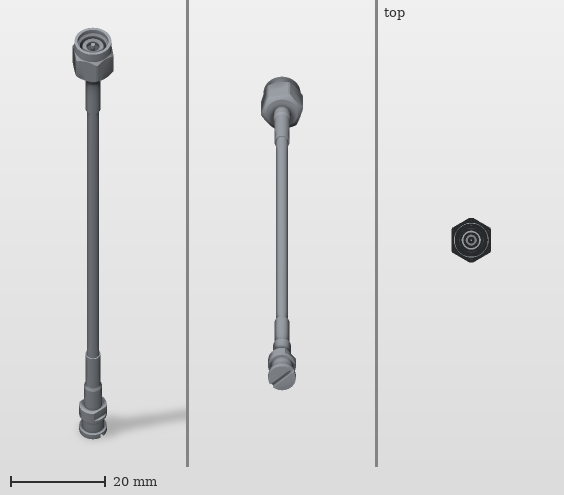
import cadquery as cq
import math


overall_length = 120.2

cable_diameter = 2.64
sleeve_diameter = 3.17
sleeve_length = 9.05
cone_height = 0.72

nut_across_flats = 8.0
nut_corner_diameter = 9.02
nut_length = 8.75
collar_diameter = 7.8
collar_length = 2.3
hex_length = 6.1
nut_bottom_diameter = 6.8
entry_diameter = 6.55
entry_depth = 1.0
entry_cone_height = 0.4
nut_bore_diameter = 5.6
nut_bore_depth = 6.5

neck_diameter = 3.5
neck_length = 2.35
shell_diameter = 4.5
shell_top_depth = 1.6
insulator_diameter = 2.82
insulator_top_depth = 2.5
insulator_length = 4.0
pin_diameter = 0.89
pin_top_depth = 1.0

tail_diameter = 3.8
tail_length = 5.8
barrel_diameter = 4.74
flange_diameter = 5.85
flange_thickness = 1.3
ring_thickness = 2.9
ring_flat_height = 2.15
slot_width = 0.9
slot_depth = 0.95
ring_top = 7.8

nut_bottom = overall_length - nut_length
bore_floor = overall_length - nut_bore_depth
neck_bottom = nut_bottom - neck_length
upper_sleeve_top = neck_bottom - cone_height
tail_top = ring_top + tail_length
lower_sleeve_bottom = tail_top + cone_height


def cylinder(diameter, bottom, top):
    return cq.Workplane("XY").workplane(offset=bottom).circle(diameter / 2).extrude(top - bottom)


def cone(bottom_diameter, top_diameter, bottom, height):
    solid = cq.Solid.makeCone(bottom_diameter / 2, top_diameter / 2, height, cq.Vector(0, 0, bottom))
    return cq.Workplane(solid)


def make_nut():
    corner_radius = nut_corner_diameter / 2
    collar_radius = collar_diameter / 2
    hex_top = overall_length - collar_length
    hex_bottom = hex_top - hex_length
    chamfer = corner_radius - collar_radius

    hexagon = (
        cq.Workplane("XY")
        .workplane(offset=hex_bottom)
        .transformed(rotate=(0, 0, 90))
        .polygon(6, nut_across_flats / math.cos(math.pi / 6))
        .extrude(hex_length)
    )
    turned_blank = (
        cylinder(nut_corner_diameter, hex_bottom, hex_top)
        .faces("|Z")
        .chamfer(chamfer)
    )
    nut = hexagon.intersect(turned_blank)
    nut = nut.union(cylinder(collar_diameter, hex_top, overall_length))
    nut = nut.union(cone(nut_bottom_diameter, collar_diameter, nut_bottom, hex_bottom - nut_bottom))

    entry_floor = overall_length - entry_depth
    nut = nut.cut(cylinder(entry_diameter, entry_floor, overall_length))
    cone_bottom = entry_floor - entry_cone_height
    nut = nut.cut(cone(nut_bore_diameter, entry_diameter, cone_bottom, entry_cone_height))
    nut = nut.cut(cylinder(nut_bore_diameter, bore_floor, cone_bottom))
    return nut.cut(cylinder(neck_diameter, nut_bottom, bore_floor))


def make_plug_shell():
    shell_top = overall_length - shell_top_depth
    insulator_top = overall_length - insulator_top_depth
    shell = cylinder(shell_diameter, bore_floor, shell_top)
    shell = shell.union(cylinder(neck_diameter, neck_bottom, bore_floor))
    shell = shell.union(cone(sleeve_diameter, neck_diameter, upper_sleeve_top, cone_height))
    return shell.cut(cylinder(insulator_diameter, insulator_top - insulator_length, shell_top))


def make_insulator():
    top = overall_length - insulator_top_depth
    bottom = top - insulator_length
    return cylinder(insulator_diameter, bottom, top).cut(cylinder(pin_diameter, bottom, top))


def make_pin():
    bottom = overall_length - insulator_top_depth - insulator_length
    return cylinder(pin_diameter, bottom, overall_length - pin_top_depth)


def make_cable():
    return cylinder(cable_diameter, lower_sleeve_bottom, upper_sleeve_top)


def make_sleeve(bottom):
    top = bottom + sleeve_length
    return cylinder(sleeve_diameter, bottom, top).cut(cylinder(cable_diameter, bottom, top))


def make_ring():
    ring = cylinder(flange_diameter, ring_top - ring_thickness, ring_top)
    for side in (-1, 1):
        flat_cutter = (
            cq.Workplane("XY")
            .workplane(offset=ring_top - ring_flat_height)
            .center(side * barrel_diameter, 0)
            .rect(barrel_diameter, flange_diameter)
            .extrude(ring_flat_height)
        )
        ring = ring.cut(flat_cutter)
    return ring


def make_bottom_connector():
    connector = cylinder(barrel_diameter, 0, ring_top)
    connector = connector.union(cylinder(flange_diameter, 0, flange_thickness))
    connector = connector.union(make_ring())
    connector = connector.union(cylinder(tail_diameter, ring_top, tail_top))
    connector = connector.union(cone(tail_diameter, sleeve_diameter, tail_top, cone_height))
    slot = cq.Workplane("XY").rect(flange_diameter, slot_width).extrude(slot_depth)
    return connector.cut(slot)


nut = make_nut()
plug_shell = make_plug_shell()
insulator = make_insulator()
pin = make_pin()
cable = make_cable()
sleeve_bottoms = [lower_sleeve_bottom, upper_sleeve_top - sleeve_length]
sleeves = [make_sleeve(bottom) for bottom in sleeve_bottoms]
bottom_connector = make_bottom_connector()

result = cq.Compound.makeCompound(
    [
        nut.val(),
        plug_shell.val(),
        insulator.val(),
        pin.val(),
        cable.val(),
        *[sleeve.val() for sleeve in sleeves],
        bottom_connector.val(),
    ]
)